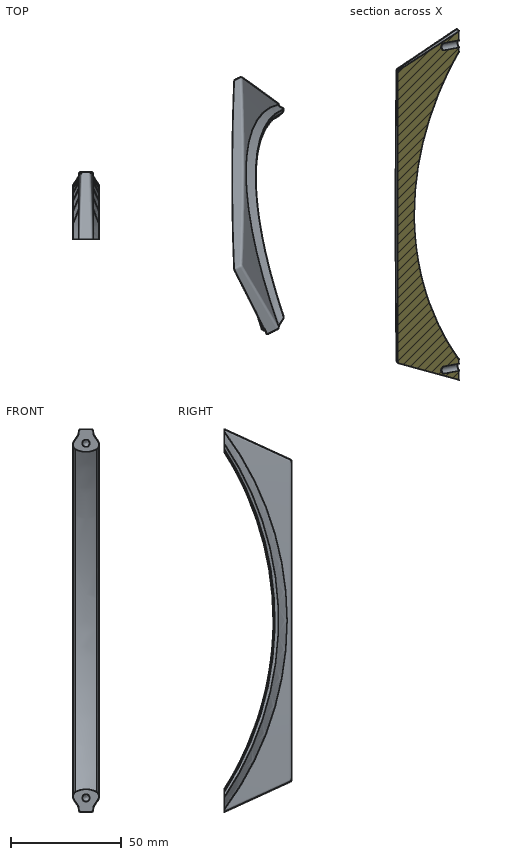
import cadquery as cq
import math

LENGTH = 173.0
DEPTH = 30.5
WIDTH = 11.89

END_SLOPE_DROP = 14.0
END_FACE_HEIGHT = 10.3
MIDDLE_THICKNESS = 8.4

CROWN_HALF_WIDTH = 4.95
CROWN_HEIGHT = 0.8
FRONT_CORNER_X = 5.65
FRONT_CORNER_DEPTH = 1.45
SIDE_DEPTH = 2.4
SHOULDER_X = 5.0
SHOULDER_DEPTH = 3.7
ROOT_X = 3.75
ROOT_DEPTH = 5.0
WEB_HALF_WIDTH = 3.3
WEB_DEPTH = 6.3
WEB_DRAFT = 3.0
WEB_EDGE_RADIUS = 1.0
BACK_CORNER_RADIUS = 1.5

HOLE_DIAMETER = 3.3
HOLE_DEPTH = 8.0
HOLE_POINT_ANGLE = 118.0
HOLE_FROM_END = 6.4

SWEEP_OVERRUN = 2.0

HALF_LENGTH = LENGTH / 2
HALF_WIDTH = WIDTH / 2

ARC_SAGITTA = DEPTH - MIDDLE_THICKNESS
ARC_HALF_CHORD = HALF_LENGTH - END_FACE_HEIGHT
ARC_RADIUS = (ARC_HALF_CHORD**2 + ARC_SAGITTA**2) / (2 * ARC_SAGITTA)
ARC_CENTRE_Y = ARC_SAGITTA - ARC_RADIUS


def arc_y(z):
    """Y of the front arc at height z."""
    return ARC_CENTRE_Y + math.sqrt(ARC_RADIUS**2 - z**2)


def swept_grip_and_web():
    """Sweep the cross-section along the front arc, keeping it parallel to the XY plane."""
    sweep_half_length = HALF_LENGTH + SWEEP_OVERRUN
    start_y = arc_y(sweep_half_length)
    section_depth = DEPTH - start_y
    back_half_width = WEB_HALF_WIDTH - (section_depth - WEB_DEPTH) * math.tan(math.radians(WEB_DRAFT))

    path = (
        cq.Workplane("YZ")
        .moveTo(start_y, -sweep_half_length)
        .threePointArc((ARC_SAGITTA, 0), (start_y, sweep_half_length))
    )
    shoulder_points = [
        (HALF_WIDTH, SIDE_DEPTH),
        (SHOULDER_X, SHOULDER_DEPTH),
        (ROOT_X, ROOT_DEPTH),
        (WEB_HALF_WIDTH, WEB_DEPTH),
    ]
    mirrored_points = [(-x, depth) for x, depth in reversed(shoulder_points)]
    section = (
        cq.Workplane("XY", origin=(0, start_y, -sweep_half_length))
        .moveTo(-CROWN_HALF_WIDTH, CROWN_HEIGHT)
        .threePointArc((0, 0), (CROWN_HALF_WIDTH, CROWN_HEIGHT))
        .threePointArc((FRONT_CORNER_X, FRONT_CORNER_DEPTH), shoulder_points[0])
        .spline(shoulder_points[1:], includeCurrent=True)
        .lineTo(back_half_width, section_depth)
        .lineTo(-back_half_width, section_depth)
        .lineTo(*mirrored_points[0])
        .spline(mirrored_points[1:], includeCurrent=True)
        .threePointArc((-FRONT_CORNER_X, FRONT_CORNER_DEPTH), (-CROWN_HALF_WIDTH, CROWN_HEIGHT))
        .close()
    )
    return section.sweep(path, normal=(0, 0, 1))


def side_envelope():
    """Trapezoid that gives the flat back, the sloped ends and the flat end faces."""
    back_half_length = HALF_LENGTH - END_SLOPE_DROP
    return (
        cq.Workplane("YZ")
        .polyline([
            (0, -HALF_LENGTH),
            (DEPTH, -back_half_length),
            (DEPTH, back_half_length),
            (0, HALF_LENGTH),
        ])
        .close()
        .extrude(WIDTH, both=True)
        .edges("|X and >Y")
        .fillet(BACK_CORNER_RADIUS)
    )


def round_web_edges(body):
    """Round the long edges of the flat back, its rounded corners and both sloped ends."""
    behind_grip = cq.selectors.BoxSelector(
        (-WEB_EDGE_RADIUS, WEB_DEPTH, -LENGTH),
        (WEB_EDGE_RADIUS, 2 * DEPTH, LENGTH),
    )
    edges = body.faces("%PLANE or %CYLINDER").faces(behind_grip).edges()
    return edges.filter(lambda edge: abs(edge.Center().x) > WEB_EDGE_RADIUS).fillet(WEB_EDGE_RADIUS)


def screw_hole(z):
    """Blind drilled hole along Y with a conical bottom."""
    radius = HOLE_DIAMETER / 2
    point_length = radius / math.tan(math.radians(HOLE_POINT_ANGLE / 2))
    return (
        cq.Workplane("XY", origin=(0, 0, z))
        .polyline([(0, 0), (radius, 0), (radius, HOLE_DEPTH), (0, HOLE_DEPTH + point_length)])
        .close()
        .revolve(360, (0, 0, 0), (0, 1, 0))
    )


result = swept_grip_and_web().intersect(side_envelope())
result = round_web_edges(result)
for end in (-1, 1):
    result = result.cut(screw_hole(end * (HALF_LENGTH - HOLE_FROM_END)))